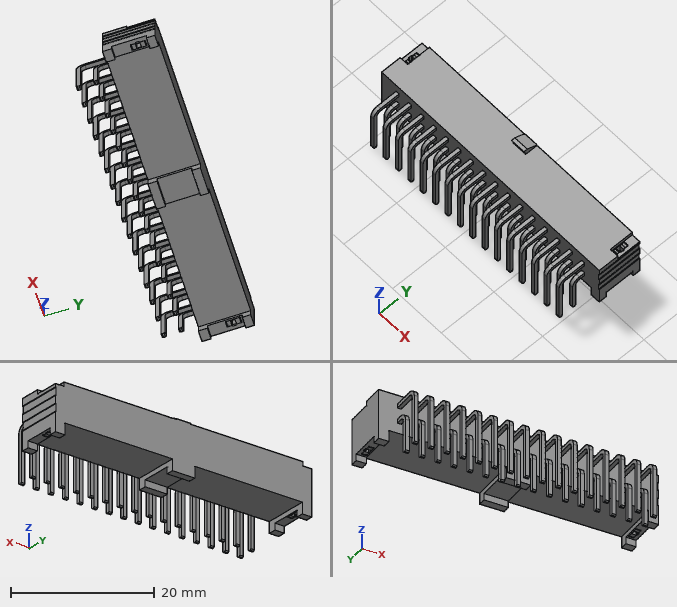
import cadquery as cq

length = 44.7
depth = 7.7
height = 8.2

underside_gap = 1.85
end_foot_length = 1.65
middle_foot_length = 3.9
foot_slot_height = 1.07
foot_slot_start = 1.35
foot_slot_end = depth - 1.25

latch_width = 2.55
latch_height = 1.05
latch_length = 2.5
latch_ramp_length = 1.88
latch_root_length = 2.2
latch_ramp_start = 0.15
latch_undercut_start = 0.25

row_count = 2
pin_count = 16
pin_span = 38.1
pin_pitch = pin_span / (pin_count - 1)
row_pitch = pin_pitch
pin_size = 0.63
pin_bend = 0.65
pin_tip_z = -2.45
pin_tip_chamfer = 0.2
long_pin_reach = 4.83
upper_row_z = height - 1.85

groove_width = 1.25
groove_depth = 0.15

recess_width = 1.5
recess_length = 4.15
recess_depth = 0.65
pocket_width = 0.8
pocket_lip = 0.1
pocket_length = 2.2
pocket_offset = 1.6

clip_gap = 0.15
clip_rail = 0.1
clip_head = 0.65
eye_length = 0.65
rail_drop = 1.35
eye_chamfer = 0.25
bump_length = 0.5
bump_height = 0.15

recess_floor = height - recess_depth
pocket_end = depth - pocket_offset
pocket_start = pocket_end - pocket_length
pocket_x = length / 2 - recess_width + pocket_lip + pocket_width / 2
clip_start = pocket_start + clip_gap
clip_end = pocket_end - clip_gap
eye_end = clip_end - clip_head
eye_start = eye_end - eye_length
clip_z = (foot_slot_height, recess_floor)


def box(x_range, y_range, z_range):
    """Block spanning the given ranges along X, Y and Z."""
    (x0, x1), (y0, y1), (z0, z1) = x_range, y_range, z_range
    return cq.Workplane("XY").box(x1 - x0, y1 - y0, z1 - z0, centered=False).translate((x0, y0, z0))


def make_block():
    """Plain block with its feet formed by cuts in the underside."""
    block = box((-length / 2, length / 2), (0, depth), (0, height))
    gap_start = middle_foot_length / 2
    gap_end = length / 2 - end_foot_length
    for gap in ((-gap_end, -gap_start), (gap_start, gap_end)):
        block = block.cut(box(gap, (0, depth), (0, underside_gap)))
    slot_y = (foot_slot_start, foot_slot_end)
    return block.cut(box((-length / 2, length / 2), slot_y, (0, foot_slot_height)))


def make_latch():
    """Wedge that rises from the mating face to an overhanging tip."""
    profile = [
        (depth, height),
        (depth, height + latch_ramp_start),
        (depth - latch_ramp_length, height + latch_height),
        (depth - latch_length, height + latch_height),
        (depth - latch_root_length, height + latch_undercut_start),
        (depth - latch_root_length, height),
    ]
    return cq.Workplane("YZ").polyline(profile).close().extrude(latch_width / 2, both=True)


def make_pin(x, axis_z, reach):
    """Square pin that leaves the pin-side face and bends down to a chamfered tip."""
    top = axis_z + pin_size / 2
    drop = box((x - pin_size / 2, x + pin_size / 2), (-reach, 0), (pin_tip_z, top))
    inside = box((x - pin_size, x + pin_size), (pin_size - reach, 0), (pin_tip_z, top - pin_size))
    pin = drop.edges("|X and <Y and >Z").fillet(pin_bend + pin_size)
    pin = pin.cut(inside.edges("|X and <Y and >Z").fillet(pin_bend))
    return pin.faces("<Z").edges("|X").chamfer(pin_tip_chamfer)


def make_bump(side):
    """Bump on the outer side of a clip; the housing has a matching notch."""
    pocket_side = pocket_x + pocket_width / 2
    bump_x = sorted((side * pocket_side, side * (pocket_side + bump_height)))
    middle = (eye_start + eye_end) / 2
    return box(bump_x, (middle - bump_length / 2, middle + bump_length / 2), clip_z)


def make_housing():
    """Moulded housing with its latch and two rows of bent pins."""
    housing = make_block().union(make_latch())

    for side in (-1, 1):
        recess_x = sorted((side * length / 2, side * (length / 2 - recess_width)))
        housing = housing.cut(box(recess_x, (depth - recess_length, depth), (recess_floor, height)))
        pocket_sides = (side * pocket_x - pocket_width / 2, side * pocket_x + pocket_width / 2)
        housing = housing.cut(box(pocket_sides, (pocket_start, pocket_end), (0, height)))
        housing = housing.cut(make_bump(side))

    for row in range(row_count):
        row_z = upper_row_z - row * row_pitch
        groove_z = (row_z - groove_width / 2, row_z + groove_width / 2)
        housing = housing.cut(box((length / 2 - groove_depth, length / 2), (0, depth), groove_z))
        for column in range(pin_count):
            x = column * pin_pitch - pin_span / 2
            housing = housing.union(make_pin(x, row_z, long_pin_reach - row * row_pitch))
    return housing


def make_clip(side):
    """Upright clip with an eye through its height and lowered rails, held in a pocket of the housing."""
    x = side * pocket_x
    eye_half_width = pocket_width / 2 - clip_rail
    clip = box((x - pocket_width / 2, x + pocket_width / 2), (clip_start, clip_end), clip_z)
    clip = clip.union(make_bump(side))
    eye = box((x - eye_half_width, x + eye_half_width), (eye_start, eye_end), clip_z)
    rail_top = recess_floor - rail_drop
    gap_outline = [
        (eye_start, rail_top),
        (eye_end, rail_top),
        (eye_end, recess_floor - eye_chamfer),
        (eye_end + eye_chamfer, recess_floor),
        (eye_start - eye_chamfer, recess_floor),
        (eye_start, recess_floor - eye_chamfer),
    ]
    gap_half_width = pocket_width / 2 + bump_height
    gap = cq.Workplane("YZ").polyline(gap_outline).close().extrude(gap_half_width, both=True)
    return clip.cut(eye).cut(gap.translate((x, 0, 0)))


housing = make_housing()
clips = [make_clip(side) for side in (-1, 1)]

result = cq.Compound.makeCompound([housing.val(), *[clip.val() for clip in clips]])